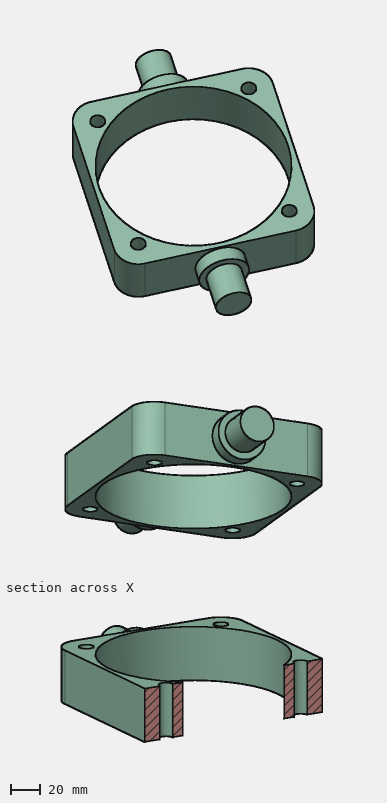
import cadquery as cq

overall_length = 210.0
body_side = 140.0
body_height = 38.0
corner_radius = 17.0
bore_diameter = 133.0
bolt_hole_diameter = 10.0
collar_diameter = 35.0
collar_length = 10.0
shaft_diameter = 25.0

bolt_spacing = body_side - 2 * corner_radius
body_half = body_side / 2
shaft_length = overall_length / 2 - body_half - collar_length


def make_frame():
    """Square frame with rounded corners, a large bore and four bolt holes."""
    return (
        cq.Workplane("XY")
        .box(body_side, body_side, body_height)
        .edges("|Z")
        .fillet(corner_radius)
        .faces(">Z")
        .workplane()
        .hole(bore_diameter)
        .faces(">Z")
        .workplane()
        .rect(bolt_spacing, bolt_spacing, forConstruction=True)
        .vertices()
        .hole(bolt_hole_diameter)
    )


def add_trunnion(frame, side):
    """Add a collar and shaft to the >X or <X side of the frame."""
    return (
        frame.faces(side)
        .workplane(centerOption="CenterOfBoundBox")
        .circle(collar_diameter / 2)
        .extrude(collar_length)
        .faces(side)
        .workplane(centerOption="CenterOfBoundBox")
        .circle(shaft_diameter / 2)
        .extrude(shaft_length)
    )


result = make_frame()
for trunnion_side in (">X", "<X"):
    result = add_trunnion(result, trunnion_side)